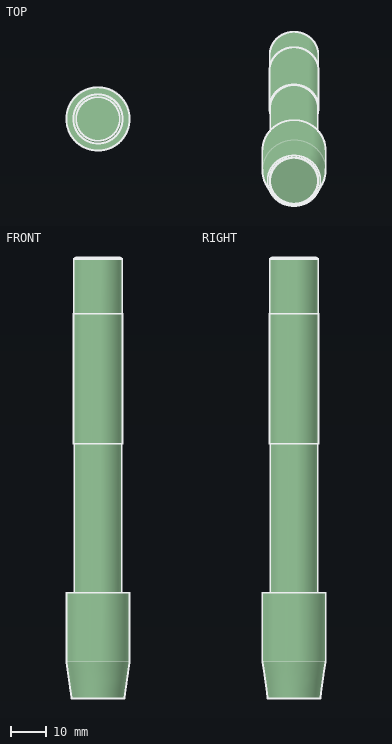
import cadquery as cq

total_length = 125.0

shank_diameter = 13.5
band_diameter = 14.0
end_diameter = 13.9
band_bottom = 72.1
band_top = 109.0
end_chamfer_height = 0.5
end_chamfer_width = 0.8

sleeve_diameter = 18.0
sleeve_tip_diameter = 15.0
sleeve_length = 30.0
taper_length = 10.5
bore_clearance = 0.4


def make_rod():
    """Stepped rod running the full length, with a chamfered upper end."""
    shank = cq.Workplane("XY").circle(shank_diameter / 2).extrude(band_bottom)
    band = (
        cq.Workplane("XY", origin=(0, 0, band_bottom))
        .circle(band_diameter / 2)
        .extrude(band_top - band_bottom)
    )
    end = (
        cq.Workplane("XY", origin=(0, 0, band_top))
        .circle(end_diameter / 2)
        .extrude(total_length - band_top)
        .faces(">Z")
        .edges()
        .chamfer(end_chamfer_height, end_chamfer_width)
    )
    return shank.union(band).union(end)


def make_sleeve():
    """Collar with a tapered lower end and a through bore that clears the shank."""
    bore_radius = (shank_diameter + bore_clearance) / 2
    outer_radius = sleeve_diameter / 2
    half_section = (
        cq.Workplane("XZ")
        .moveTo(bore_radius, 0)
        .lineTo(sleeve_tip_diameter / 2, 0)
        .lineTo(outer_radius, taper_length)
        .lineTo(outer_radius, sleeve_length)
        .lineTo(bore_radius, sleeve_length)
        .close()
    )
    return half_section.revolve(360, (0, 0, 0), (0, 1, 0))


rod = make_rod()
sleeve = make_sleeve()

result = cq.Compound.makeCompound([rod.val(), sleeve.val()])